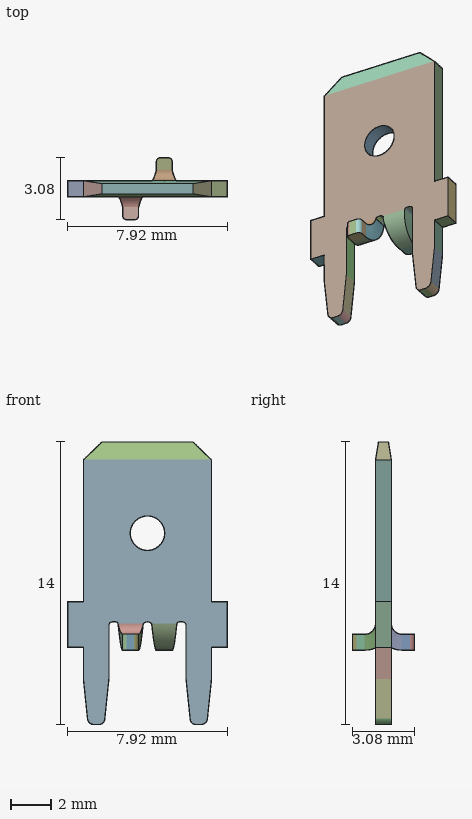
import cadquery as cq
import math

height = 14.02
thickness = 0.8
blade_half_width = 3.18
hole_diameter = 1.7
hole_z = 9.49

lead_in_z = 13.12
top_half_width = 2.26
top_thickness = 0.5

shoulder_half_width = 3.96
shoulder_bottom_z = 3.83
shoulder_top_z = 6.1

leg_inner_x = 1.9
leg_taper_z = 2.26
tip_half_width = 0.43
tip_radius = 0.3
leg_center_x = (blade_half_width + leg_inner_x) / 2

tang_center_x = 0.834
tang_root_z = 5.0
root_half_width = 0.63
end_half_width = 0.4
bend_inner_radius = 0.52
bend_outer_radius = bend_inner_radius + thickness
tang_reach = 1.54
tang_corner_radius = 0.21
bend_axis_y = thickness / 2 + bend_inner_radius

gap_top_z = 5.09
gap_corner_radius = 0.17
gap_flat_end_x = 1.57
tang_outer_x = tang_center_x + root_half_width
tang_inner_x = tang_center_x - root_half_width


def make_half_sheet():
    """Right half of the flat sheet, without the bent tangs."""
    leg_outer_tip_x = leg_center_x + tip_half_width
    leg_inner_tip_x = leg_center_x - tip_half_width
    return (
        cq.Workplane("XZ")
        .moveTo(0, height)
        .lineTo(top_half_width, height)
        .lineTo(blade_half_width, lead_in_z)
        .lineTo(blade_half_width, shoulder_top_z)
        .lineTo(shoulder_half_width, shoulder_top_z)
        .lineTo(shoulder_half_width, shoulder_bottom_z)
        .lineTo(blade_half_width, shoulder_bottom_z)
        .lineTo(blade_half_width, leg_taper_z)
        .lineTo(leg_outer_tip_x, tip_radius)
        .tangentArcPoint((leg_outer_tip_x - tip_radius, 0), relative=False)
        .lineTo(leg_inner_tip_x + tip_radius, 0)
        .tangentArcPoint((leg_inner_tip_x, tip_radius), relative=False)
        .lineTo(leg_inner_x, leg_taper_z)
        .lineTo(leg_inner_x, gap_top_z - gap_corner_radius)
        .tangentArcPoint((leg_inner_x - gap_corner_radius, gap_top_z), relative=False)
        .lineTo(gap_flat_end_x, gap_top_z)
        .tangentArcPoint((tang_outer_x, tang_root_z), relative=False)
        .lineTo(tang_inner_x, tang_root_z)
        .spline([(0, gap_top_z)], tangents=[(-1, 1), (-1, 0)], includeCurrent=True)
        .close()
        .extrude(thickness / 2, both=True)
    )


def make_lead_in_envelope():
    """Side profile that thins the top of the blade on both faces."""
    return (
        cq.Workplane("YZ")
        .moveTo(-thickness / 2, 0)
        .lineTo(thickness / 2, 0)
        .lineTo(thickness / 2, lead_in_z)
        .lineTo(top_thickness / 2, height)
        .lineTo(-top_thickness / 2, height)
        .lineTo(-thickness / 2, lead_in_z)
        .close()
        .extrude(shoulder_half_width, both=True)
    )


def bend_edge(radius, side):
    """Long edge of the bend, narrowing evenly with the bend angle."""
    def point(fraction):
        angle = fraction * math.pi / 2
        half_width = root_half_width + (end_half_width - root_half_width) * fraction
        return (
            tang_center_x + side * half_width,
            bend_axis_y - radius * math.cos(angle),
            tang_root_z - radius * math.sin(angle),
        )

    return cq.Workplane("XY").parametricCurve(point, makeWire=False).val()


def make_bend():
    """Quarter bend bounded by ruled faces between its four long edges."""
    edges = [
        bend_edge(bend_inner_radius, -1),
        bend_edge(bend_inner_radius, 1),
        bend_edge(bend_outer_radius, 1),
        bend_edge(bend_outer_radius, -1),
    ]
    pairs = list(zip(edges, edges[1:] + edges[:1]))
    faces = [cq.Face.makeRuledSurface(first, second) for first, second in pairs]
    for position in (0, 1):
        corners = [edge.positionAt(position) for edge in edges]
        faces.append(cq.Face.makeFromWires(cq.Wire.makePolygon(corners, close=True)))
    return cq.Workplane(cq.Solid.makeSolid(cq.Shell.makeShell(faces)).fix())


def make_tang():
    """Tang on the +X side, bent towards +Y."""
    end = (
        cq.Workplane("XY")
        .box(2 * end_half_width, tang_reach - bend_axis_y, thickness, centered=(True, False, False))
        .edges("|Z and >Y")
        .fillet(tang_corner_radius)
        .translate((tang_center_x, bend_axis_y, tang_root_z - bend_outer_radius))
    )
    return make_bend().union(end)


half_sheet = make_half_sheet()
sheet = half_sheet.union(half_sheet.mirror("YZ")).intersect(make_lead_in_envelope())
hole = (
    cq.Workplane("XZ")
    .center(0, hole_z)
    .circle(hole_diameter / 2)
    .extrude(thickness)
    .translate((0, thickness / 2, 0))
)
tang = make_tang()
opposite_tang = tang.rotate((0, 0, 0), (0, 0, 1), 180)

result = sheet.cut(hole).union(tang).union(opposite_tang)